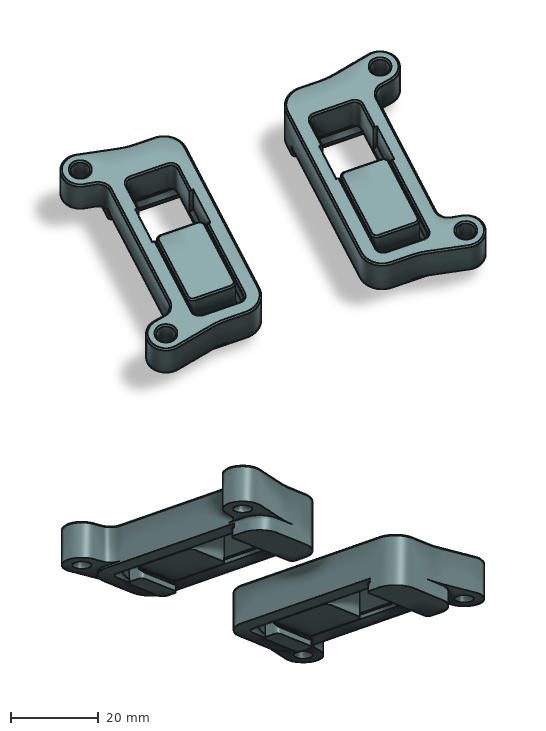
import cadquery as cq
import math

overall_length = 83.4
frame_height = 12.6
bar_length = 53.9
bar_width = 20.7
bar_corner_radius = 5.5
top_chamfer = 0.4

ear_radius = 4.6
ear_hole_diameter = 4.4
ear_spacing = 50.0
ear_bottom_z = 3.6
ear_center_x = ear_spacing / 2
ear_center_y = overall_length / 2 - ear_radius
ear_root_radius = 3.0
ear_root_x = 17.1
ear_blend_radius = 18.35

bar_inner_y = 12.4
bar_outer_y = bar_inner_y + bar_width
bar_center_y = bar_inner_y + bar_width / 2
bar_end_x = bar_length / 2

floor_z = 3.0
foot_edge_x = -18.6

hook_reach = 1.2
foot_hook_edge_z = 1.1
slider_hook_edge_z = 1.5

window_width = 12.5
window_min_x = -18.4
window_max_x = 23.3
window_corner_radius = 1.7
groove_depth = 0.9
groove_min_x = -9.8
groove_max_x = 21.8
groove_bottom_z = 4.1
groove_top_z = 11.5
groove_end_radius = 2.0
notch_length = 10.0

spring_hole_diameter = 8.0
spring_hole_depth = 2.0
spring_hole_z = 7.8

slider_length = 20.0
slider_width = 12.0
slider_max_x = 18.85
slider_min_x = slider_max_x - slider_length
slider_corner_radius = 1.5
slider_chamfer = 0.4
slider_foot_min_x = 15.3


def box(min_x, max_x, min_y, max_y, min_z, max_z):
    size = (max_x - min_x, max_y - min_y, max_z - min_z)
    return cq.Workplane("XY").box(*size, centered=False).translate((min_x, min_y, min_z))


def rounded_box(min_x, max_x, width, radius, min_z, max_z):
    """Box centred across the bar, with rounded upright corners."""
    half = width / 2
    block = box(min_x, max_x, bar_center_y - half, bar_center_y + half, min_z, max_z)
    return block.edges("|Z").fillet(radius)


def polar(center, radius, angle):
    return (center[0] + radius * math.cos(angle), center[1] + radius * math.sin(angle))


def make_ear():
    """Ear at the +X end: a round eye with straight flanks that run into the bar."""
    eye = (ear_center_x, ear_center_y)

    root = (ear_root_x, bar_outer_y + ear_root_radius)
    to_root = math.atan2(root[1] - eye[1], root[0] - eye[0]) % (2 * math.pi)
    inner_angle = to_root - math.acos((ear_radius + ear_root_radius) / math.dist(eye, root))
    root_start = inner_angle - math.pi
    root_end = -math.pi / 2
    root_middle = (root_start + root_end) / 2

    blend = (bar_end_x + ear_blend_radius, bar_center_y)
    to_blend = math.atan2(blend[1] - eye[1], blend[0] - eye[0])
    outer_angle = to_blend + math.acos((ear_radius + ear_blend_radius) / math.dist(eye, blend))
    blend_start = outer_angle + math.pi
    blend_middle = (blend_start + math.pi) / 2

    eye_middle = (inner_angle + outer_angle) / 2
    return (
        cq.Workplane("XY", origin=(0, 0, ear_bottom_z))
        .moveTo(ear_root_x, bar_center_y)
        .lineTo(ear_root_x, bar_outer_y)
        .threePointArc(polar(root, ear_root_radius, root_middle), polar(root, ear_root_radius, root_start))
        .lineTo(*polar(eye, ear_radius, inner_angle))
        .threePointArc(polar(eye, ear_radius, eye_middle), polar(eye, ear_radius, outer_angle))
        .lineTo(*polar(blend, ear_blend_radius, blend_start))
        .threePointArc(polar(blend, ear_blend_radius, blend_middle), (bar_end_x, bar_center_y))
        .close()
        .extrude(frame_height - ear_bottom_z)
    )


def make_hook(root_x, direction, width, edge_z):
    """Snap hook standing out along X by hook_reach, rounded at both ends and bevelled on top."""
    tip_x = root_x + direction * hook_reach
    half = width / 2
    profile = (
        cq.Workplane("XZ", origin=(0, bar_center_y + half, 0))
        .moveTo(root_x - direction * hook_reach, 0)
        .lineTo(tip_x, 0)
        .lineTo(tip_x, edge_z)
        .lineTo(root_x, edge_z + hook_reach)
        .lineTo(root_x - direction * hook_reach, edge_z + hook_reach)
        .close()
        .extrude(width)
    )
    reach = sorted((root_x - direction * 2 * hook_reach, tip_x))
    plan = box(*reach, bar_center_y - half, bar_center_y + half, 0, edge_z + hook_reach)
    tip_side = ">X" if direction > 0 else "<X"
    plan = plan.faces(tip_side).edges("|Z").fillet(hook_reach)
    return profile.intersect(plan)


def make_groove_cutter():
    """Both guide grooves, with a 45 degree floor, plus the open notch above them."""
    half_window = window_width / 2
    half_groove = half_window + groove_depth
    groove = (
        cq.Workplane("YZ", origin=(groove_min_x, bar_center_y, 0))
        .moveTo(-half_window, groove_bottom_z)
        .lineTo(half_window, groove_bottom_z)
        .lineTo(half_groove, groove_bottom_z + groove_depth)
        .lineTo(half_groove, groove_top_z)
        .lineTo(-half_groove, groove_top_z)
        .lineTo(-half_groove, groove_bottom_z + groove_depth)
        .close()
        .extrude(groove_max_x - groove_min_x)
        .faces(">X").edges("|Z").fillet(groove_end_radius)
    )
    notch = box(
        groove_min_x, groove_min_x + notch_length,
        bar_center_y - half_groove, bar_center_y + half_groove,
        groove_top_z, frame_height,
    )
    return groove.union(notch)


def make_frame():
    ear = make_ear()
    bar = rounded_box(-bar_end_x, bar_end_x, bar_width, bar_corner_radius, 0, frame_height)
    frame = bar.union(ear).union(ear.mirror("YZ"))
    frame = frame.cut(box(foot_edge_x, bar_end_x, bar_inner_y, bar_outer_y, 0, floor_z))
    frame = frame.union(make_hook(foot_edge_x, 1, bar_width, foot_hook_edge_z))

    ear_holes = (
        cq.Workplane("XY")
        .pushPoints([(-ear_center_x, ear_center_y), (ear_center_x, ear_center_y)])
        .circle(ear_hole_diameter / 2)
        .extrude(frame_height)
    )
    window = rounded_box(
        window_min_x, window_max_x, window_width, window_corner_radius, floor_z, frame_height
    )
    frame = frame.cut(ear_holes).cut(window)
    frame = frame.faces(">Z").edges().chamfer(top_chamfer)

    frame = frame.cut(make_groove_cutter())
    spring_hole = (
        cq.Workplane("YZ", origin=(window_max_x, bar_center_y, spring_hole_z))
        .circle(spring_hole_diameter / 2)
        .extrude(spring_hole_depth)
    )
    return frame.cut(spring_hole)


def make_slider():
    slider = rounded_box(
        slider_min_x, slider_max_x, slider_width, slider_corner_radius, 0, frame_height
    )
    slider = slider.faces(">Z").edges().chamfer(slider_chamfer)
    half = slider_width / 2
    slider = slider.cut(
        box(slider_min_x, slider_foot_min_x, bar_center_y - half, bar_center_y + half, 0, floor_z)
    )
    return slider.union(make_hook(slider_foot_min_x, -1, slider_width, slider_hook_edge_z))


frame = make_frame()
slider = make_slider()
bodies = []
for body in (frame, slider):
    bodies.append(body.val())
    bodies.append(body.mirror("XZ").val())

result = cq.Compound.makeCompound(bodies)